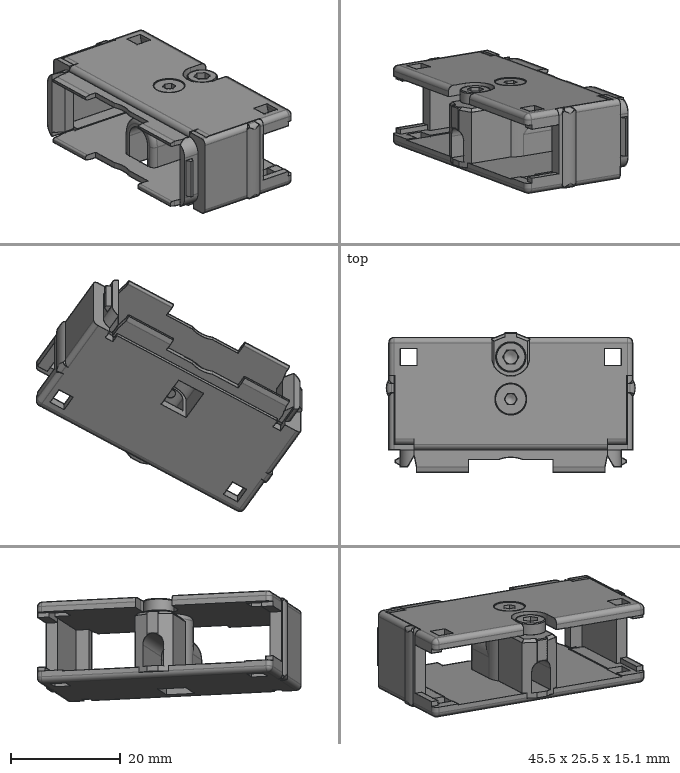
import cadquery as cq
import math

HEIGHT = 15.05
DEPTH = 20.55
HALF_WIDTH = 22.28
EDGE_RADIUS = 1.0

FLOOR_TOP = 1.9
PAD_TOP = 2.1
PAD_INNER = 17.25
LID_UNDERSIDE = 13.05
LID_STEP = 13.95
WALL_DEPTH = 13.55
WALL_INNER = 20.1
WALL_FOOT_INNER = 18.8
RIM_INNER = 20.9
RIM_BACK = 19.45
BASE_RIM_TOP = 3.0
LID_RIM_BOTTOM = 12.25
LID_RIM_INNER = 20.15
LID_HALF_WIDTH = 21.15
LID_SLOT_HALF_WIDTH = 21.28
TAB_INNER = 17.65
TAB_DEPTH = 1.0
FLOOR_NOTCH_DEPTH = 1.5

WINDOW_X = 18.65
WINDOW_Y = 16.95
WINDOW_WIDTH = 3.0
WINDOW_LENGTH = 3.1
WINDOW_LIP = 0.55
WINDOW_LEAN = 0.35

TONGUE_REACH = 4.1
LOWER_TONGUE_THICKNESS = 1.1
TONGUE_TIP_HALF_WIDTH = 17.25
TONGUE_SHOULDER = 1.05
TONGUE_TAPER_END = 3.1
TONGUE_NOTCH_HALF_WIDTH = 7.7
TONGUE_NOTCH_Y = -1.77
TONGUE_ARC_HALF_WIDTH = 2.2
TONGUE_ARC_RISE = 0.4
TONGUE_TIP_DROP = 0.25
TONGUE_TIP_RADIUS = 0.4

EAR_OUTER = 20.2
EAR_TOP = 14.15
EAR_BOTTOM = 1.0
EAR_RADIUS = 2.55
EAR_INNER = 18.8
BUMP_BOTTOM = 3.85
BUMP_TOP = 11.05
BUMP_Y = -2.1
BUMP_ROOT_HALF_WIDTH = 0.75
BUMP_TIP_HALF_WIDTH = 0.25
BUMP_REACH = 0.9

RIB_Y = 11.27
RIB_HALF_WIDTH = 1.5
RIB_REACH = 0.45
RIB_END_CHAMFER = 0.7

COLUMN_RADIUS = 4.27
COLUMN_Y = 9.27
ARCH_FRONT = 2.15
ARCH_CENTRE_Z = 5.95
ARCH_MOUTH_RADIUS = 2.7
ARCH_MOUTH_DEPTH = 6.05
TUNNEL_RADIUS = 1.95
BLOCK_HALF_WIDTH = 3.6
BLOCK_TOP = 12.1
BLOCK_BOTTOM = 0.9
BLOCK_SHOULDER_Y = 20.25
BLOCK_BACK = 21.25
BLOCK_CHAMFER = 0.55
NOSE_CHAMFER = 0.2
NOSE_HALF_WIDTH = 1.05
NOSE_BACK = 21.45
NOSE_BOTTOM = 7.27
NOSE_SLOPE_TOP = 8.0

CLAMP_SCREW_Y = 16.95
HEAD_RADIUS = 2.77
HEAD_CHAMFER = 0.2
CLAMP_HEAD_BOTTOM = 12.5
CLAMP_HEAD_TOP = 14.7
CLAMP_SHANK_RADIUS = 1.6
CLAMP_HEX = 2.95
LID_HEAD_BOTTOM = LID_UNDERSIDE
LID_HEAD_TOP = 14.9
LID_SHANK_RADIUS = 0.9
LID_SHANK_TIP = 7.65
LID_HEX = 2.35
HEX_DEPTH = 1.15
SEAT_CHAMFER = 0.15
RECESS_RADIUS = 3.45


def box(x0, x1, y0, y1, z0, z1):
    return cq.Workplane("XY").box(x1 - x0, y1 - y0, z1 - z0, centered=False).translate((x0, y0, z0))


def on_both_sides(shape):
    """The shape together with its mirror image across the plane X = 0."""
    return shape.union(shape.mirror("YZ"))


def envelope():
    """The rounded outer block that bounds the housing; its front edges stay sharp."""
    block = box(-HALF_WIDTH, HALF_WIDTH, 0, DEPTH, 0, HEIGHT)
    return block.edges("(|Y) or (>Y)").fillet(EDGE_RADIUS)


def corner_windows():
    pair = cq.Workplane("XY").pushPoints([(-WINDOW_X, WINDOW_Y), (WINDOW_X, WINDOW_Y)])
    return pair.rect(WINDOW_WIDTH, WINDOW_LENGTH).extrude(HEIGHT)


def window_reliefs():
    """Wedges that lean the back wall of each lid window outward below a straight lip."""
    back_wall = WINDOW_Y + WINDOW_LENGTH / 2
    wedge = (
        cq.Workplane("YZ", origin=(WINDOW_X, 0, 0))
        .moveTo(back_wall, HEIGHT - WINDOW_LIP)
        .lineTo(back_wall, LID_UNDERSIDE)
        .lineTo(back_wall + WINDOW_LEAN, LID_UNDERSIDE)
        .close()
        .extrude(WINDOW_WIDTH / 2, both=True)
    )
    return on_both_sides(wedge)


def tongue_pair(thickness):
    """Two front tongues with a notch between them, standing on Z = 0 with the sloped tip face up."""
    outline = (
        cq.Workplane("XY")
        .moveTo(-TAB_INNER, EDGE_RADIUS)
        .lineTo(-TAB_INNER, -TONGUE_SHOULDER)
        .lineTo(-TONGUE_TIP_HALF_WIDTH, -TONGUE_TAPER_END)
        .lineTo(-TONGUE_TIP_HALF_WIDTH, -TONGUE_REACH)
        .lineTo(-TONGUE_NOTCH_HALF_WIDTH, -TONGUE_REACH)
        .lineTo(-TONGUE_NOTCH_HALF_WIDTH, TONGUE_NOTCH_Y)
        .lineTo(-TONGUE_ARC_HALF_WIDTH, TONGUE_NOTCH_Y)
        .threePointArc((0, TONGUE_NOTCH_Y + TONGUE_ARC_RISE), (TONGUE_ARC_HALF_WIDTH, TONGUE_NOTCH_Y))
        .lineTo(TONGUE_NOTCH_HALF_WIDTH, TONGUE_NOTCH_Y)
        .lineTo(TONGUE_NOTCH_HALF_WIDTH, -TONGUE_REACH)
        .lineTo(TONGUE_TIP_HALF_WIDTH, -TONGUE_REACH)
        .lineTo(TONGUE_TIP_HALF_WIDTH, -TONGUE_TAPER_END)
        .lineTo(TAB_INNER, -TONGUE_SHOULDER)
        .lineTo(TAB_INNER, EDGE_RADIUS)
        .close()
        .extrude(thickness)
    )
    side = (
        cq.Workplane("YZ")
        .moveTo(EDGE_RADIUS, 0)
        .lineTo(EDGE_RADIUS, thickness)
        .lineTo(-TONGUE_TAPER_END, thickness)
        .lineTo(-TONGUE_REACH, thickness - TONGUE_TIP_DROP)
        .lineTo(-TONGUE_REACH, 0)
        .close()
        .extrude(TAB_INNER, both=True)
        .edges("<Y and <Z")
        .fillet(TONGUE_TIP_RADIUS)
    )
    return outline.intersect(side)


def snap_ear():
    """Hooked ear in front of the +X wall, with its snap bump."""
    middle_x = EAR_OUTER - EAR_RADIUS
    arc_offset = EAR_RADIUS * math.sqrt(0.5)
    top_centre_z = EAR_TOP - EAR_RADIUS
    bottom_centre_z = EAR_BOTTOM + EAR_RADIUS
    reach = TONGUE_TAPER_END
    ear = (
        cq.Workplane("XZ")
        .moveTo(middle_x, EAR_TOP)
        .threePointArc((middle_x + arc_offset, top_centre_z + arc_offset), (EAR_OUTER, top_centre_z))
        .lineTo(EAR_OUTER, bottom_centre_z)
        .threePointArc((middle_x + arc_offset, bottom_centre_z - arc_offset), (middle_x, EAR_BOTTOM))
        .close()
        .extrude(reach)
    )
    toe_relief = box(middle_x, EAR_INNER, -reach, 0, EAR_BOTTOM, PAD_TOP)
    slant = (
        cq.Workplane("XY")
        .moveTo(middle_x, -TONGUE_SHOULDER)
        .lineTo(EAR_INNER, -reach)
        .lineTo(middle_x, -reach)
        .close()
        .extrude(HEIGHT)
    )
    bump = (
        cq.Workplane("XY", origin=(EAR_OUTER, BUMP_Y, BUMP_BOTTOM))
        .moveTo(0, -BUMP_ROOT_HALF_WIDTH)
        .lineTo(BUMP_REACH, -BUMP_TIP_HALF_WIDTH)
        .lineTo(BUMP_REACH, BUMP_TIP_HALF_WIDTH)
        .lineTo(0, BUMP_ROOT_HALF_WIDTH)
        .close()
        .extrude(BUMP_TOP - BUMP_BOTTOM)
    )
    return ear.cut(toe_relief).cut(slant).union(bump)


def side_rib():
    """Shallow rounded rib that runs up the outside of the +X wall."""
    rib = (
        cq.Workplane("XY")
        .moveTo(HALF_WIDTH, RIB_Y - RIB_HALF_WIDTH)
        .threePointArc((HALF_WIDTH + RIB_REACH, RIB_Y), (HALF_WIDTH, RIB_Y + RIB_HALF_WIDTH))
        .lineTo(LID_SLOT_HALF_WIDTH, RIB_Y + RIB_HALF_WIDTH)
        .lineTo(LID_SLOT_HALF_WIDTH, RIB_Y - RIB_HALF_WIDTH)
        .close()
        .extrude(HEIGHT)
    )
    outer = HALF_WIDTH + RIB_REACH
    rounded = box(-outer, outer, 0, DEPTH, 0, HEIGHT).edges("|Y").fillet(EDGE_RADIUS)
    tapered = box(0, outer, RIB_Y - RIB_HALF_WIDTH, RIB_Y + RIB_HALF_WIDTH, 0, HEIGHT)
    tapered = tapered.edges("|X").chamfer(RIB_END_CHAMFER)
    return rib.intersect(rounded).intersect(tapered)


def floor_notches():
    return on_both_sides(box(PAD_INNER, WALL_FOOT_INNER, 0, FLOOR_NOTCH_DEPTH, 0, PAD_TOP))


def shell():
    """Floor, side walls, rear rims and front tabs of the base."""
    floor = box(-HALF_WIDTH, HALF_WIDTH, 0, DEPTH, 0, FLOOR_TOP)
    wall = box(WALL_INNER, HALF_WIDTH, 0, WALL_DEPTH, 0, LID_UNDERSIDE)
    cheek = box(LID_SLOT_HALF_WIDTH, HALF_WIDTH, 0, WALL_DEPTH, 0, HEIGHT)
    pad = box(PAD_INNER, HALF_WIDTH, FLOOR_NOTCH_DEPTH, DEPTH, 0, PAD_TOP)
    foot = box(WALL_FOOT_INNER, HALF_WIDTH, 0, TAB_DEPTH, 0, HEIGHT)
    lip = box(TAB_INNER, HALF_WIDTH, 0, TAB_DEPTH, PAD_TOP, HEIGHT)
    rim = box(RIM_INNER, HALF_WIDTH, 0, RIM_BACK, 0, BASE_RIM_TOP)
    sides = on_both_sides(wall.union(cheek).union(pad).union(foot).union(lip).union(rim))
    return floor.cut(floor_notches()).union(sides).intersect(envelope())


def arch_profile(radius, y_start):
    """Upright arch outline standing on the floor, drawn in the plane Y = y_start."""
    return (
        cq.Workplane("XZ", origin=(0, y_start, 0))
        .moveTo(-radius, FLOOR_TOP)
        .lineTo(-radius, ARCH_CENTRE_Z)
        .threePointArc((0, ARCH_CENTRE_Z + radius), (radius, ARCH_CENTRE_Z))
        .lineTo(radius, FLOOR_TOP)
        .close()
    )


def rear_block():
    """Block under the clamp screw, with a pointed back and a central nose."""
    plan = (
        cq.Workplane("XY", origin=(0, 0, BLOCK_BOTTOM))
        .moveTo(-BLOCK_HALF_WIDTH, COLUMN_Y)
        .lineTo(-BLOCK_HALF_WIDTH, BLOCK_SHOULDER_Y)
        .lineTo(-NOSE_HALF_WIDTH, BLOCK_BACK)
        .lineTo(NOSE_HALF_WIDTH, BLOCK_BACK)
        .lineTo(BLOCK_HALF_WIDTH, BLOCK_SHOULDER_Y)
        .lineTo(BLOCK_HALF_WIDTH, COLUMN_Y)
        .close()
        .extrude(BLOCK_TOP - BLOCK_BOTTOM)
    )
    block = plan.faces(">Z").edges("not <Y").chamfer(BLOCK_CHAMFER)
    nose = (
        cq.Workplane("YZ")
        .moveTo(BLOCK_SHOULDER_Y, NOSE_BOTTOM)
        .lineTo(BLOCK_BACK, NOSE_BOTTOM)
        .lineTo(NOSE_BACK, NOSE_SLOPE_TOP)
        .lineTo(NOSE_BACK, BLOCK_TOP - NOSE_CHAMFER)
        .lineTo(NOSE_BACK - NOSE_CHAMFER, BLOCK_TOP)
        .lineTo(BLOCK_SHOULDER_Y, BLOCK_TOP)
        .close()
        .extrude(NOSE_HALF_WIDTH, both=True)
    )
    return block.union(nose)


def hex_socket(corner_width, head_top):
    """Hexagonal drive socket with a conical bottom."""
    socket_floor = head_top - HEX_DEPTH
    radius = corner_width * math.sqrt(3) / 4
    hexagon = cq.Workplane("XY", origin=(0, 0, socket_floor)).polygon(6, corner_width).extrude(HEX_DEPTH)
    cone = cq.Solid.makeCone(0, radius, radius / 2, pnt=(0, 0, socket_floor - radius / 2))
    return hexagon.union(cq.Workplane(cone))


def cylinder(radius, y, z0, z1):
    return cq.Workplane("XY", origin=(0, y, z0)).circle(radius).extrude(z1 - z0)


def clamp_screw():
    head = cylinder(HEAD_RADIUS, CLAMP_SCREW_Y, CLAMP_HEAD_BOTTOM, CLAMP_HEAD_TOP)
    head = head.faces(">Z").chamfer(HEAD_CHAMFER)
    head = head.cut(hex_socket(CLAMP_HEX, CLAMP_HEAD_TOP).translate((0, CLAMP_SCREW_Y, 0)))
    return head.union(cylinder(CLAMP_SHANK_RADIUS, CLAMP_SCREW_Y, BLOCK_TOP, CLAMP_HEAD_BOTTOM))


def with_column(body):
    """The body with its round column, the wire arch in front, the clamp block behind and the tunnel."""
    post = cylinder(COLUMN_RADIUS, COLUMN_Y, 0, LID_UNDERSIDE).faces(">Z").edges().fillet(EDGE_RADIUS)
    arch = arch_profile(COLUMN_RADIUS, COLUMN_Y).extrude(COLUMN_Y - ARCH_FRONT)
    arch = arch.faces("<Y").edges("not <Z").fillet(EDGE_RADIUS)
    tunnel = arch_profile(TUNNEL_RADIUS, NOSE_BACK).extrude(NOSE_BACK)
    mouth_end = ARCH_FRONT + ARCH_MOUTH_DEPTH
    mouth = arch_profile(ARCH_MOUTH_RADIUS, mouth_end).extrude(mouth_end)
    floor_opening = box(-ARCH_MOUTH_RADIUS, ARCH_MOUTH_RADIUS, ARCH_FRONT, mouth_end, 0, FLOOR_TOP)
    screw_hole = cylinder(LID_SHANK_RADIUS, COLUMN_Y, ARCH_CENTRE_Z, LID_UNDERSIDE)
    solid = body.union(post).union(arch).union(rear_block()).union(clamp_screw())
    return solid.cut(tunnel).cut(mouth).cut(floor_opening).cut(screw_hole)


def make_base():
    """Lower housing with its column; the clamp screw is part of it."""
    lower_tongues = tongue_pair(LOWER_TONGUE_THICKNESS).mirror("XY").translate((0, 0, FLOOR_TOP))
    details = on_both_sides(snap_ear().union(side_rib()))
    housing = shell().union(lower_tongues).union(details)
    return with_column(housing).cut(corner_windows())


def rounded_front(plate):
    return plate.edges("<Y and >Z").fillet(EDGE_RADIUS)


def make_lid():
    """Top plate with stepped front corners, rear rims, the lid screw seat and the clamp screw recess."""
    front = box(-TAB_INNER, TAB_INNER, 0, DEPTH, LID_STEP, HEIGHT)
    middle = box(-LID_HALF_WIDTH, LID_HALF_WIDTH, TAB_DEPTH, DEPTH, LID_UNDERSIDE, HEIGHT)
    plate = rounded_front(middle).union(rounded_front(front))
    back = box(-HALF_WIDTH, HALF_WIDTH, WALL_DEPTH, DEPTH, LID_UNDERSIDE, HEIGHT)
    rim = box(LID_RIM_INNER, HALF_WIDTH, WALL_DEPTH, RIM_BACK, LID_RIM_BOTTOM, HEIGHT)
    lid = plate.union(back).union(on_both_sides(rim)).intersect(envelope())
    lid = lid.union(tongue_pair(LID_STEP - LID_UNDERSIDE).translate((0, 0, LID_UNDERSIDE)))
    recess = cylinder(RECESS_RADIUS, CLAMP_SCREW_Y, 0, HEIGHT)
    recess = recess.union(box(-RECESS_RADIUS, RECESS_RADIUS, CLAMP_SCREW_Y, DEPTH, 0, HEIGHT))
    seat = cylinder(HEAD_RADIUS, COLUMN_Y, LID_UNDERSIDE, HEIGHT)
    mouth_radius = HEAD_RADIUS + SEAT_CHAMFER
    seat_mouth = cq.Solid.makeCone(
        HEAD_RADIUS, mouth_radius, SEAT_CHAMFER, pnt=(0, COLUMN_Y, HEIGHT - SEAT_CHAMFER)
    )
    lid = lid.cut(recess).cut(corner_windows()).cut(window_reliefs())
    return lid.cut(seat).cut(cq.Workplane(seat_mouth))


def make_lid_screw():
    head = cylinder(HEAD_RADIUS, COLUMN_Y, LID_HEAD_BOTTOM, LID_HEAD_TOP)
    shank = cylinder(LID_SHANK_RADIUS, COLUMN_Y, LID_SHANK_TIP, LID_HEAD_BOTTOM)
    socket = hex_socket(LID_HEX, LID_HEAD_TOP).translate((0, COLUMN_Y, 0))
    return head.union(shank).cut(socket)


base = make_base()
lid = make_lid()
lid_screw = make_lid_screw()

result = cq.Compound.makeCompound([base.val(), lid.val(), lid_screw.val()])